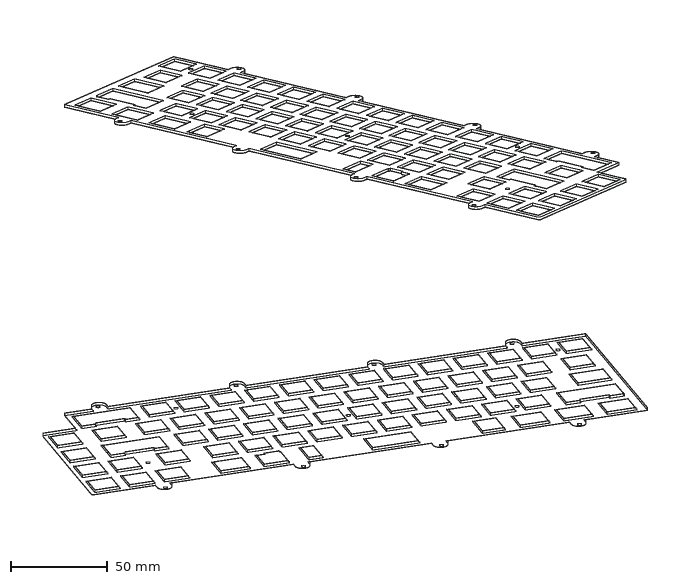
import cadquery as cq

UNIT = 19.05
COLUMNS = 16
ROWS = 5
THICKNESS = 1.5
WIDTH = COLUMNS * UNIT
DEPTH = ROWS * UNIT
OVERALL_DEPTH = 108.3

SWITCH_SIZE = 14.0
STABILIZER_WIDTH = 8.0
STABILIZER_DEPTH = 15.2
STABILIZER_OFFSET = (STABILIZER_DEPTH - SWITCH_SIZE) / 2
SPACING_2U = 11.94
SPACING_6_25U = 50.0
SPACING_7U = 57.15

TAB_COUNT = 4
TAB_PITCH = 75.7
TAB_POSITIONS = [(i - (TAB_COUNT - 1) / 2) * TAB_PITCH for i in range(TAB_COUNT)]
TAB_WIDTH = 8.0
TAB_HOLE_INSET = 2.3

HOLE_DIAMETER = 2.2
CORNER_RADIUS = 1.0

SCREW_HOLES = [(0, 1.0), (0, 12.0), (2, 7.75), (3, 3.25), (3, 13.875)]
SCREW_HOLE_OFFSET = 1.4

KEY_ROWS = [
    [0.5 + i for i in range(13)] + [14.0],
    [0.75] + [2.0 + i for i in range(12)] + [14.25, 15.5],
    [0.625, 0.875] + [2.25 + i for i in range(11)] + [13.875, 15.5],
    [0.625, 1.125] + [2.75 + i for i in range(10)] + [13.125, 14.5, 15.5],
    [0.625, 0.75, 1.875, 2.0, 3.125, 3.25, 6.875, 7.5, 10.625, 11.75, 11.875, 13.5, 14.5, 15.5],
]

STABILIZED_KEYS = [
    (0, 14.0, SPACING_2U, -1),
    (2, 13.875, SPACING_2U, -1),
    (3, 1.125, SPACING_2U, -1),
    (4, 6.875, SPACING_6_25U, 1),
    (4, 7.5, SPACING_7U, 1),
]


def key_x(column):
    return column * UNIT - WIDTH / 2


def row_y(row):
    return DEPTH / 2 - (row + 0.5) * UNIT


def make_plate():
    """Rectangular plate without the back right grid cell; the right-hand corners are rounded."""
    plate = cq.Workplane("XY").rect(WIDTH, DEPTH).extrude(THICKNESS)
    missing_cell = (
        cq.Workplane("XY")
        .center((WIDTH - UNIT) / 2, (DEPTH - UNIT) / 2)
        .rect(UNIT, UNIT)
        .extrude(THICKNESS)
    )
    return plate.cut(missing_cell).edges("|Z and >X").fillet(CORNER_RADIUS)


def make_tab(x, side):
    """Drilled tab with a semicircular tip, on the back (side = 1) or front (side = -1) edge."""
    radius = TAB_WIDTH / 2
    edge_y = side * DEPTH / 2
    tip_y = side * OVERALL_DEPTH / 2
    shoulder_y = tip_y - side * radius
    tab = (
        cq.Workplane("XY")
        .moveTo(x - radius, edge_y)
        .lineTo(x - radius, shoulder_y)
        .threePointArc((x, tip_y), (x + radius, shoulder_y))
        .lineTo(x + radius, edge_y)
        .close()
        .extrude(THICKNESS)
    )
    return tab.cut(make_holes([(x, tip_y - side * TAB_HOLE_INSET)]))


def make_holes(points):
    return cq.Workplane("XY").pushPoints(points).circle(HOLE_DIAMETER / 2).extrude(THICKNESS)


def make_cutout(x, y, width, depth):
    return cq.Workplane("XY").center(x, y).rect(width, depth).extrude(THICKNESS)


def switch_cutouts():
    return [
        make_cutout(key_x(column), row_y(row), SWITCH_SIZE, SWITCH_SIZE)
        for row, columns in enumerate(KEY_ROWS)
        for column in columns
    ]


def stabilizer_cutouts():
    return [
        make_cutout(
            key_x(column) + side * spacing,
            row_y(row) + deeper_side * STABILIZER_OFFSET,
            STABILIZER_WIDTH,
            STABILIZER_DEPTH,
        )
        for row, column, spacing, deeper_side in STABILIZED_KEYS
        for side in (-1, 1)
    ]


def bridge_cutouts():
    """Openings that join a switch cutout to the nearby stabilizer cutouts of the same key."""
    return [
        make_cutout(key_x(column), row_y(row), 2 * spacing, SWITCH_SIZE)
        for row, column, spacing, _ in STABILIZED_KEYS
        if spacing == SPACING_2U
    ]


tabs = [make_tab(x, side) for x in TAB_POSITIONS for side in (-1, 1)]
screw_holes = make_holes(
    [(key_x(column), row_y(row) - SCREW_HOLE_OFFSET) for row, column in SCREW_HOLES]
)
cutouts = switch_cutouts() + stabilizer_cutouts() + bridge_cutouts() + [screw_holes]

plate = make_plate()
for tab in tabs:
    plate = plate.union(tab)

opening_solids = [solid for cutout in cutouts for solid in cutout.solids().vals()]
plate_solid = plate.val().cut(*opening_solids).clean()
result = cq.Workplane(plate_solid).solids()